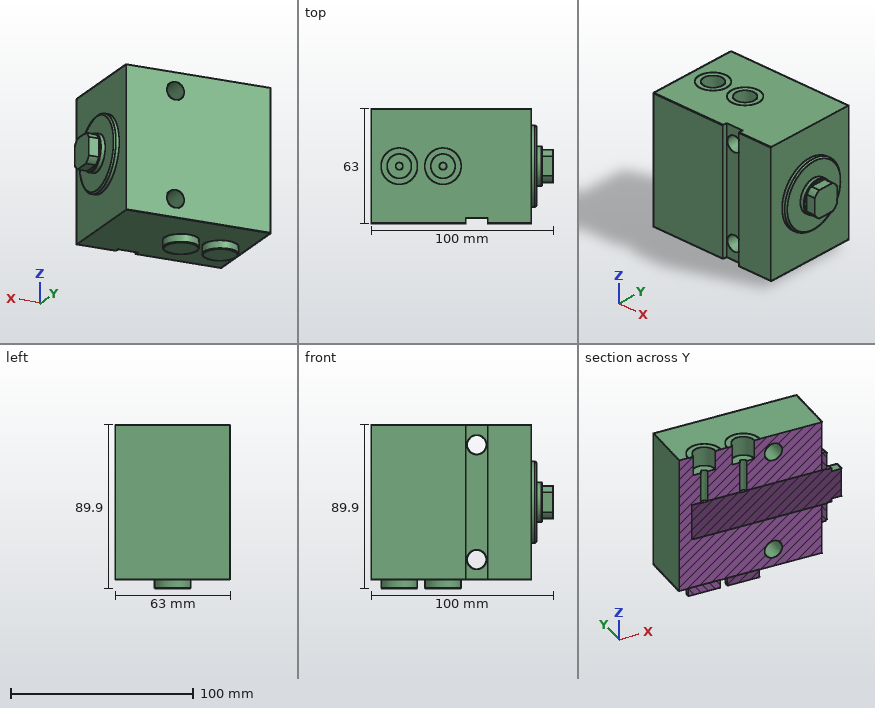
import cadquery as cq


LENGTH = 88.0
WIDTH = 63.0
HEIGHT = 85.0
EDGE_CHAMFER = 0.3

GROOVE_START = 52.0
GROOVE_WIDTH = 12.0
GROOVE_DEPTH = 3.0
MOUNT_HOLE_DIAMETER = 10.5
MOUNT_HOLE_SPACING = 63.0
MOUNT_HOLE_X = GROOVE_START + GROOVE_WIDTH / 2

PORT_POSITIONS = (15.5, 39.5)
SPOTFACE_DIAMETER = 20.0
SPOTFACE_DEPTH = 0.1
PORT_DIAMETER = 13.4
PORT_DEPTH = 12.0
PASSAGE_DIAMETER = 4.0

PLUG_THICKNESS = 5.0
PLUG_CHAMFER = 0.5

GLAND_DIAMETER = 45.0
GLAND_THICKNESS = 3.0
GLAND_CHAMFER = 1.0

ROD_DIAMETER = 22.0
ROD_CHAMFER = 0.5
ROD_START = 8.0
SHOULDER_PROTRUSION = 3.0
SQUARE_LENGTH = 6.0
ROD_SHOULDER = LENGTH + GLAND_THICKNESS + SHOULDER_PROTRUSION
SQUARE_SIZE = 18.0
SQUARE_CORNER_DIAMETER = ROD_DIAMETER - 2 * ROD_CHAMFER


def axial_plane(x):
    """Plane across the rod axis at the given X, facing +X, with its local x along +Z."""
    return cq.Workplane(cq.Plane(origin=(x, 0, 0), xDir=(0, 0, 1), normal=(1, 0, 0)))


def level_plane(x, z):
    """Plane facing +Z at the given X and Z, with its local x along -X."""
    return cq.Workplane(cq.Plane(origin=(x, 0, z), xDir=(-1, 0, 0), normal=(0, 0, 1)))


def make_port_cut(x):
    """Spotface, wide bore and oil passage of one port, from the top face to the rod axis."""
    top = HEIGHT / 2
    spotface = level_plane(x, top).circle(SPOTFACE_DIAMETER / 2).extrude(-SPOTFACE_DEPTH)
    bore = level_plane(x, top).circle(PORT_DIAMETER / 2).extrude(-PORT_DEPTH)
    passage = level_plane(x, top).circle(PASSAGE_DIAMETER / 2).extrude(-top)
    return spotface.union(bore).union(passage)


def make_housing():
    block = cq.Workplane("XY").box(LENGTH, WIDTH, HEIGHT, centered=(False, True, True))
    block = block.edges("|X").chamfer(EDGE_CHAMFER)

    groove = cq.Workplane("XY").box(
        GROOVE_WIDTH, GROOVE_DEPTH, HEIGHT, centered=(False, False, True)
    ).translate((GROOVE_START, -WIDTH / 2, 0))
    block = block.cut(groove)

    mount_holes = (
        cq.Workplane("XZ", origin=(MOUNT_HOLE_X, 0, 0))
        .rarray(1, MOUNT_HOLE_SPACING, 1, 2)
        .circle(MOUNT_HOLE_DIAMETER / 2)
        .extrude(WIDTH, both=True)
    )
    block = block.cut(mount_holes)

    rod_bore = axial_plane(ROD_START).circle(ROD_DIAMETER / 2).extrude(LENGTH - ROD_START)
    block = block.cut(rod_bore)

    for x in PORT_POSITIONS:
        plug_seat = level_plane(x, -HEIGHT / 2).circle(SPOTFACE_DIAMETER / 2).extrude(SPOTFACE_DEPTH)
        block = block.cut(make_port_cut(x)).cut(plug_seat)
    return block


def make_plug(x):
    """Disc with its upper face in the spotface and a chamfered lower rim."""
    plug_top = -HEIGHT / 2 + SPOTFACE_DEPTH
    disc = level_plane(x, plug_top).circle(SPOTFACE_DIAMETER / 2).extrude(-PLUG_THICKNESS)
    return disc.faces("<Z").edges().chamfer(PLUG_CHAMFER)


def make_gland():
    """Ring on the end face of the housing, chamfered around its outer rim."""
    disc = axial_plane(LENGTH).circle(GLAND_DIAMETER / 2).extrude(GLAND_THICKNESS)
    disc = disc.faces(">X").edges().chamfer(GLAND_CHAMFER)
    rod_hole = axial_plane(LENGTH).circle(ROD_DIAMETER / 2).extrude(GLAND_THICKNESS)
    return disc.cut(rod_hole)


def make_rod():
    """Round rod ending in a square with turned-down corners."""
    shaft = axial_plane(ROD_START).circle(ROD_DIAMETER / 2).extrude(ROD_SHOULDER - ROD_START)
    shaft = shaft.faces(">X").edges().chamfer(ROD_CHAMFER)

    square = axial_plane(ROD_SHOULDER).rect(SQUARE_SIZE, SQUARE_SIZE).extrude(SQUARE_LENGTH)
    corner_round = axial_plane(ROD_SHOULDER).circle(SQUARE_CORNER_DIAMETER / 2).extrude(SQUARE_LENGTH)
    return shaft.union(square.intersect(corner_round))


housing = make_housing()
gland = make_gland()
rod = make_rod()
plugs = [make_plug(x) for x in PORT_POSITIONS]

result = cq.Compound.makeCompound(
    [housing.val(), gland.val(), rod.val(), *[plug.val() for plug in plugs]]
)